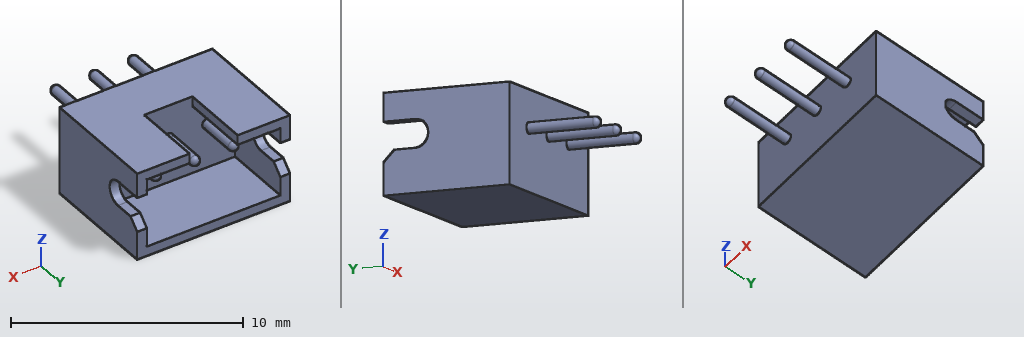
import cadquery as cq

width = 7.9
depth = 6.0
height = 4.5
wall = 0.5
cavity_depth = 3.5

notch_width = 2.48

slot_depth = 2.12
slot_height = 1.26
slot_center_z = 2.6
lead_in = 0.52

pin_count = 3
pin_pitch = 2.0
pin_diameter = 0.5
pin_center_z = 2.8
tail_length = 9.4 - depth
tip_setback = 1.25


def make_housing():
    """Block with a rectangular cavity opening toward +Y."""
    block = cq.Workplane("XY").box(width, depth, height, centered=(True, False, False))
    cavity = (
        cq.Workplane("XY")
        .box(width - 2 * wall, cavity_depth, height - 2 * wall, centered=(True, False, False))
        .translate((0, depth - cavity_depth, wall))
    )
    return block.cut(cavity)


def make_key_notch():
    """Cutter that opens the middle of the top wall."""
    return (
        cq.Workplane("XY")
        .box(notch_width, cavity_depth, wall, centered=(True, False, False))
        .translate((0, depth - cavity_depth, height - wall))
    )


def make_side_slot():
    """Cutter across the full width, with a lead-in chamfer on its lower lip."""
    radius = slot_height / 2
    arc_start_y = depth - slot_depth + radius
    top_z = slot_center_z + radius
    bottom_z = slot_center_z - radius
    return (
        cq.Workplane("YZ")
        .moveTo(depth, top_z)
        .lineTo(arc_start_y, top_z)
        .threePointArc((depth - slot_depth, slot_center_z), (arc_start_y, bottom_z))
        .lineTo(depth - lead_in, bottom_z)
        .lineTo(depth, bottom_z - lead_in)
        .close()
        .extrude(width / 2, both=True)
    )


def make_pin(x):
    """Round pin along Y, running through the back wall into the cavity."""
    radius = pin_diameter / 2
    first_center_y = radius - tail_length
    last_center_y = depth - tip_setback - radius
    shaft = cq.Solid.makeCylinder(
        radius,
        last_center_y - first_center_y,
        cq.Vector(x, first_center_y, pin_center_z),
        cq.Vector(0, 1, 0),
    )
    pin = cq.Workplane("XY").add(shaft)
    for center_y in (first_center_y, last_center_y):
        pin = pin.union(cq.Workplane("XY").sphere(radius).translate((x, center_y, pin_center_z)))
    return pin


result = make_housing().cut(make_key_notch()).cut(make_side_slot())
for index in range(pin_count):
    pin_x = (index - (pin_count - 1) / 2) * pin_pitch
    result = result.union(make_pin(pin_x))